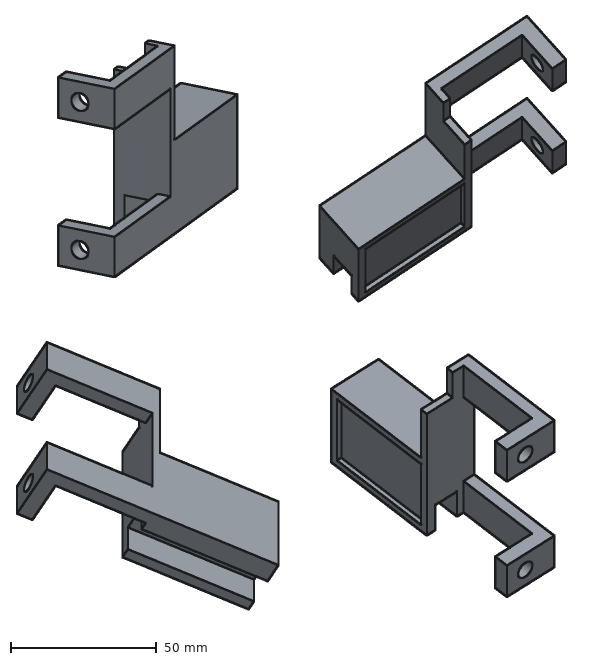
import cadquery as cq

width = 22.0
height = 70.0

arm_height = 15.0
arm_thickness = 5.0
foot_thickness = 6.0

plate_front = 41.0
plate_thickness = 3.0
plate_back = plate_front + plate_thickness

box_back = 90.0
box_height = 35.0
box_wall = 3.0
recess_depth = 2.0

hole_diameter = 6.6
hole_x = (width - arm_thickness) / 2

clearance_height = 12.0
notch_width = 12.0
channel_start = 4.0
channel_width = 10.0


def block(x_range, y_range, z_range):
    """Box spanning the given (low, high) limits on each axis."""
    ranges = (x_range, y_range, z_range)
    sizes = [high - low for low, high in ranges]
    corner = tuple(low for low, high in ranges)
    return cq.Workplane("XY").box(*sizes, centered=False).translate(corner)


def arm(bottom):
    """L-shaped arm with a drilled foot, its underside at Z = bottom."""
    z_range = (bottom, bottom + arm_height)
    beam = block((width - arm_thickness, width), (0, plate_back), z_range)
    foot = block((0, width), (0, foot_thickness), z_range)
    hole = (
        cq.Workplane("XZ", origin=(hole_x, 0, bottom + arm_height / 2))
        .circle(hole_diameter / 2)
        .extrude(-foot_thickness)
    )
    return beam.union(foot).cut(hole)


plate = block((0, width), (plate_front, plate_back), (0, height))
housing = block((0, width), (plate_front, box_back), (0, box_height))
body = plate.union(housing)

recess = block(
    (0, recess_depth),
    (plate_back, box_back - box_wall),
    (box_wall, box_height - box_wall),
)
body = body.cut(recess)

notch = block((0, notch_width), (plate_front, plate_back), (height - clearance_height, height))
body = body.cut(notch)

channel = block(
    (channel_start, channel_start + channel_width),
    (plate_front, box_back),
    (0, clearance_height),
)
body = body.cut(channel)

for arm_bottom in (0, height - arm_height):
    body = body.union(arm(arm_bottom))

result = body